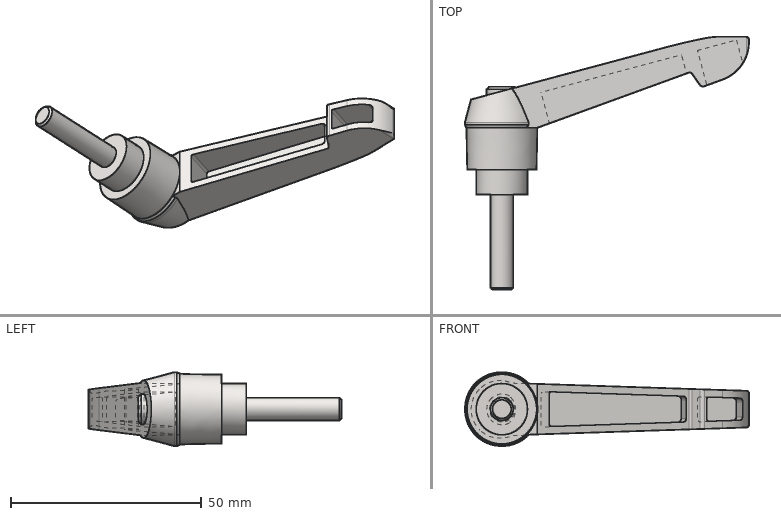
import cadquery as cq
import math


STUD_RADIUS = 6 / 2
STUD_LENGTH = 25.0
STUD_CHAMFER = 0.55

COLLAR_RADIUS = 13.5 / 2
COLLAR_TOP = 6.55
SLEEVE_RADIUS_BOTTOM = 9.15
SLEEVE_RADIUS_TOP = 9.35

HEAD_BASE = 17.55
HEAD_BASE_RADIUS = 9.4
HEAD_RADIUS = 9.745
RIM_BOTTOM = 18.35
RIM_TOP = 19.05
CONE_ANGLE = 15.0
HEAD_BLANK_TOP = 32.0

BUTTON_RADIUS = 4.05
BUTTON_TOP = 28.4
BUTTON_CHAMFER = 0.75

TOP_ANGLE = 15.0
TOP_HEIGHT_AT_AXIS = 27.2
ARM_TOP = 41.55
TOP_ARC_START_X = 43.3
TOP_ARC_RADIUS = 150.0
TOP_ARC_END_ANGLE = 11.0
UNDER_ANGLE = 20.0
UNDER_START_X = 9.35
TIP_X = 65.0
TIP_ARC_START_X = 57.95
TIP_CORNER_RADIUS = 1.0
NOTCH_ANGLE = 55.0
NOTCH_TOP_X = 49.65
NOTCH_BOTTOM_X = 52.47
NOTCH_INNER_RADIUS = 0.75
NOTCH_OUTER_RADIUS = 1.0

ARM_HALF_WIDTH_AT_AXIS = 6.98
ARM_HALF_WIDTH_AT_TIP = 4.83
TIP_PLAN_RADIUS = 0.8

POCKET_WALL = 2.0
POCKET_HEAD_RADIUS = 0.6
POCKET_TIP_RADIUS = 1.0
POCKET_ROOF_HEIGHT = 3.0
LONG_POCKET_START_X = 12.45
LONG_POCKET_END_X = 48.5
TIP_POCKET_START_X = 53.85
TIP_POCKET_END_X = 63.3


def slope(angle):
    return math.tan(math.radians(angle))


def sine(angle):
    return math.sin(math.radians(angle))


def cosine(angle):
    return math.cos(math.radians(angle))


def top_line(x):
    """Y of the sloped flat top of the arm and head."""
    return TOP_HEIGHT_AT_AXIS + x * slope(TOP_ANGLE)


def under_line(x):
    """Y of the sloped underside of the arm between the head and the notch."""
    return HEAD_BASE + (x - UNDER_START_X) * slope(UNDER_ANGLE)


def tip_line(x):
    """Y of the sloped underside of the arm between the notch and the tip arc."""
    notch_depth = (NOTCH_BOTTOM_X - NOTCH_TOP_X) * slope(NOTCH_ANGLE)
    return under_line(NOTCH_TOP_X) - notch_depth + (x - NOTCH_BOTTOM_X) * slope(UNDER_ANGLE)


TIP_ARC_RADIUS = (TIP_X - TIP_ARC_START_X) / (1 - sine(UNDER_ANGLE))
TIP_ARC_CENTER_Y = tip_line(TIP_ARC_START_X) + TIP_ARC_RADIUS * cosine(UNDER_ANGLE)


def tip_arc(x):
    """Y of the tip arc."""
    from_center = x - (TIP_X - TIP_ARC_RADIUS)
    return TIP_ARC_CENTER_Y - math.sqrt(TIP_ARC_RADIUS**2 - from_center**2)


def floor_line(x):
    """Y of the common pocket floor, parallel to the sloped top."""
    return top_line(x) - POCKET_ROOF_HEIGHT


def arm_half_width(x):
    return ARM_HALF_WIDTH_AT_AXIS + x / TIP_X * (ARM_HALF_WIDTH_AT_TIP - ARM_HALF_WIDTH_AT_AXIS)


def extrude_z(outline):
    """Extrude an XY outline symmetrically across the full depth of the head."""
    return outline.extrude(HEAD_RADIUS, both=True)


def revolve_profile(points):
    """Revolve (radius, y) points about the Y axis."""
    return cq.Workplane("XY").polyline(points).close().revolve(360, (0, 0, 0), (0, 1, 0))


def make_stem():
    """Stud, collar and sleeve in one turned body."""
    return revolve_profile([
        (0, -STUD_LENGTH),
        (STUD_RADIUS - STUD_CHAMFER, -STUD_LENGTH),
        (STUD_RADIUS, -STUD_LENGTH + STUD_CHAMFER),
        (STUD_RADIUS, 0),
        (COLLAR_RADIUS, 0),
        (COLLAR_RADIUS, COLLAR_TOP),
        (SLEEVE_RADIUS_BOTTOM, COLLAR_TOP),
        (SLEEVE_RADIUS_TOP, HEAD_BASE),
        (0, HEAD_BASE),
    ])


def make_head():
    """Conical head cut off by the plane of the sloped top."""
    blank_top_radius = HEAD_RADIUS - (HEAD_BLANK_TOP - RIM_TOP) * slope(CONE_ANGLE)
    blank = revolve_profile([
        (0, HEAD_BASE),
        (HEAD_BASE_RADIUS, HEAD_BASE),
        (HEAD_RADIUS, RIM_BOTTOM),
        (HEAD_RADIUS, RIM_TOP),
        (blank_top_radius, HEAD_BLANK_TOP),
        (0, HEAD_BLANK_TOP),
    ])
    below_top = extrude_z(
        cq.Workplane("XY")
        .moveTo(-HEAD_RADIUS, HEAD_BASE)
        .lineTo(HEAD_RADIUS, HEAD_BASE)
        .lineTo(HEAD_RADIUS, top_line(HEAD_RADIUS))
        .lineTo(-HEAD_RADIUS, top_line(-HEAD_RADIUS))
        .close()
    )
    return blank.intersect(below_top)


def make_button():
    return revolve_profile([
        (0, HEAD_BASE),
        (BUTTON_RADIUS, HEAD_BASE),
        (BUTTON_RADIUS, BUTTON_TOP - BUTTON_CHAMFER),
        (BUTTON_RADIUS - BUTTON_CHAMFER, BUTTON_TOP),
        (0, BUTTON_TOP),
    ])


def make_arm_profile():
    """Side outline of the arm, extruded across Z, with its small corners rounded."""
    arc_start = (TOP_ARC_START_X, top_line(TOP_ARC_START_X))
    blend_start = (
        arc_start[0] + TOP_ARC_RADIUS * (sine(TOP_ANGLE) - sine(TOP_ARC_END_ANGLE)),
        arc_start[1] + TOP_ARC_RADIUS * (cosine(TOP_ARC_END_ANGLE) - cosine(TOP_ANGLE)),
    )
    blend_radius = (ARM_TOP - blend_start[1]) / (1 - cosine(TOP_ARC_END_ANGLE))
    blend_end_x = blend_start[0] + blend_radius * sine(TOP_ARC_END_ANGLE)
    notch_top = under_line(NOTCH_TOP_X)
    notch_bottom = tip_line(NOTCH_BOTTOM_X)

    profile = extrude_z(
        cq.Workplane("XY")
        .moveTo(0, HEAD_BASE)
        .lineTo(UNDER_START_X, HEAD_BASE)
        .lineTo(NOTCH_TOP_X, notch_top)
        .lineTo(NOTCH_BOTTOM_X, notch_bottom)
        .lineTo(TIP_ARC_START_X, tip_line(TIP_ARC_START_X))
        .tangentArcPoint((TIP_X, TIP_ARC_CENTER_Y), relative=False)
        .lineTo(TIP_X, ARM_TOP)
        .lineTo(blend_end_x, ARM_TOP)
        .tangentArcPoint(blend_start, relative=False)
        .tangentArcPoint(arc_start, relative=False)
        .lineTo(0, TOP_HEIGHT_AT_AXIS)
        .close()
    )
    rounded_corners = [
        (NOTCH_TOP_X, notch_top, NOTCH_INNER_RADIUS),
        (NOTCH_BOTTOM_X, notch_bottom, NOTCH_OUTER_RADIUS),
        (TIP_X, ARM_TOP, TIP_CORNER_RADIUS),
    ]
    for x, y, radius in rounded_corners:
        corner = cq.selectors.NearestToPointSelector((x, y, 0))
        profile = profile.edges("|Z").edges(corner).fillet(radius)
    return profile


def extrude_plan(start_x, end_x, inset):
    """Tapered plan of the arm, set in by inset on both sides, over the full height in Y."""
    start_half = arm_half_width(start_x) - inset
    end_half = arm_half_width(end_x) - inset
    return (
        cq.Workplane("XZ")
        .moveTo(start_x, -start_half)
        .lineTo(end_x, -end_half)
        .lineTo(end_x, end_half)
        .lineTo(start_x, start_half)
        .close()
        .extrude(-ARM_TOP)
    )


def make_arm():
    plan = extrude_plan(0, TIP_X, 0).edges("|Y and >X").fillet(TIP_PLAN_RADIUS)
    return make_arm_profile().intersect(plan)


def make_pocket(start_x, start_y, end_x, end_y):
    """Pocket cutter whose end walls are square to its floor and lean toward the head.

    The end walls meet the underside of the arm at (start_x, start_y) and (end_x, end_y).
    """
    def wall_foot(x, y):
        """Point of the end wall at Y = 0, clear below the arm."""
        return (x + y * slope(TOP_ANGLE), 0)

    def wall_head(x, y):
        """Point where the end wall through (x, y) meets the floor."""
        depth = (floor_line(x) - y) * cosine(TOP_ANGLE)
        return (x - depth * sine(TOP_ANGLE), y + depth * cosine(TOP_ANGLE))

    head_side_corner = wall_head(start_x, start_y)
    tip_side_foot = wall_foot(end_x, end_y)
    side = extrude_z(
        cq.Workplane("XY")
        .moveTo(*wall_foot(start_x, start_y))
        .lineTo(*tip_side_foot)
        .lineTo(*wall_head(end_x, end_y))
        .lineTo(*head_side_corner)
        .close()
    )
    pocket = side.intersect(extrude_plan(head_side_corner[0], tip_side_foot[0], POCKET_WALL))

    across_floor = cq.Vector(cosine(TOP_ANGLE), sine(TOP_ANGLE), 0)
    for outward, radius in ((-across_floor, POCKET_HEAD_RADIUS), (across_floor, POCKET_TIP_RADIUS)):
        end_wall = cq.selectors.DirectionMinMaxSelector(outward, True)
        pocket = pocket.faces(end_wall).edges("not |Z").fillet(radius)
    return pocket


def make_lever():
    arm = make_arm()
    long_pocket = make_pocket(
        LONG_POCKET_START_X, under_line(LONG_POCKET_START_X),
        LONG_POCKET_END_X, under_line(LONG_POCKET_END_X),
    )
    tip_pocket = make_pocket(
        TIP_POCKET_START_X, tip_line(TIP_POCKET_START_X),
        TIP_POCKET_END_X, tip_arc(TIP_POCKET_END_X),
    )
    arm = arm.cut(long_pocket).cut(tip_pocket)
    return make_stem().union(make_head()).union(make_button()).union(arm)


result = make_lever()